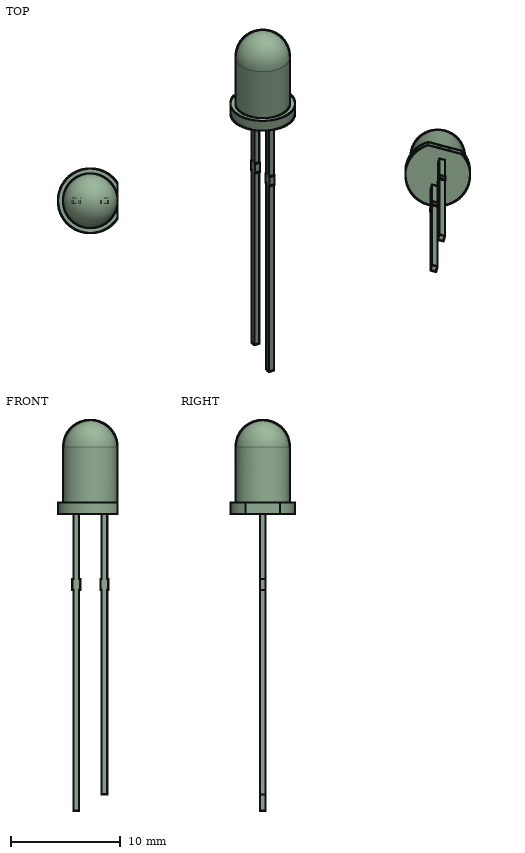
import cadquery as cq

lens_radius = 2.5
lens_wall_height = 5.02
flange_radius = 2.95
flange_height = 1.07
flange_flat_x = lens_radius

total_height = 35.6
lead_width = 0.55
lead_pitch = 2.55
short_lead_trim = 1.5
shoulder_width = 0.75
shoulder_height = 1.0
shoulder_drop = 5.9

lens_height = flange_height + lens_wall_height + lens_radius
long_lead_length = total_height - lens_height
short_lead_length = long_lead_length - short_lead_trim


def make_flange():
    """Round flange with one flat on its +X side; its underside is at Z = 0."""
    disc = cq.Workplane("XY").circle(flange_radius).extrude(flange_height)
    beyond_flat = (
        cq.Workplane("XY")
        .box(flange_radius, 2 * flange_radius, flange_height, centered=(False, True, False))
        .translate((flange_flat_x, 0, 0))
    )
    return disc.cut(beyond_flat)


def make_lens():
    """Lens wall and dome, revolved about the Z axis from one half profile."""
    wall_top = flange_height + lens_wall_height
    arc_offset = lens_radius * 0.5**0.5
    return (
        cq.Workplane("XZ")
        .lineTo(lens_radius, 0)
        .lineTo(lens_radius, wall_top)
        .threePointArc((arc_offset, wall_top + arc_offset), (0, lens_height))
        .close()
        .revolve(360, (0, 0, 0), (0, 1, 0))
    )


def make_lead(x, length):
    """Square wire hanging from the flange, with its shoulder widened along X only."""
    top_of_shoulder = -shoulder_drop
    wire = cq.Workplane("XY").rect(lead_width, lead_width).extrude(-length)
    shoulder = (
        cq.Workplane("XY")
        .workplane(offset=top_of_shoulder)
        .rect(shoulder_width, lead_width)
        .extrude(-shoulder_height)
    )
    return wire.union(shoulder).translate((x, 0, 0))


result = (
    make_flange()
    .union(make_lens())
    .union(make_lead(-lead_pitch / 2, long_lead_length))
    .union(make_lead(lead_pitch / 2, short_lead_length))
)